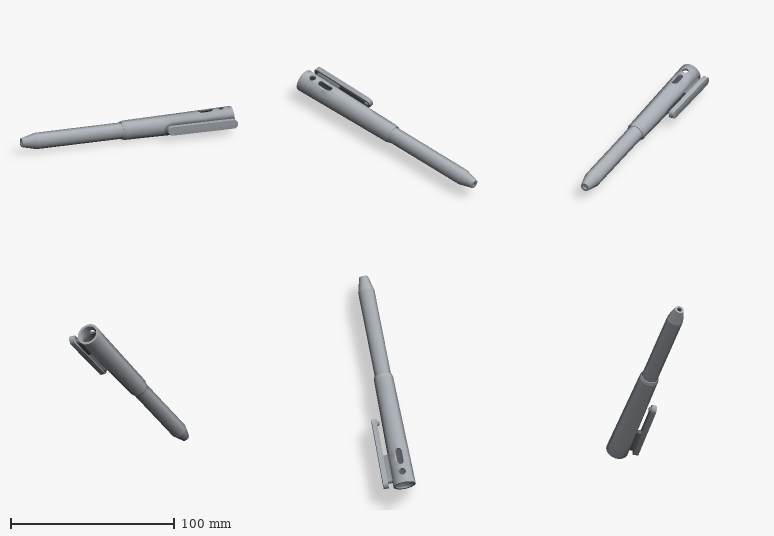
import cadquery as cq

LENGTH = 136.7

TIP_RADIUS = 2.7
BARREL_BORE_RADIUS = 1.5
TIP_LENGTH = 9.3
BARREL_RADIUS = 5.0
BARREL_INSERTION = 13.7

HOUSING_START = 64.8
HOUSING_FRONT_RADIUS = 6.0
HOUSING_REAR_RADIUS = 7.0
CHAMFER_LENGTH = 2.0
CHAMFER_END_RADIUS = 5.5
HOUSING_BORE_RADIUS = 5.5

HOLE_RADIUS = 2.0
HOLE_Y = LENGTH - 7.0
WINDOW_Y = LENGTH - 17.1
WINDOW_LENGTH = 10.4
WINDOW_WIDTH = 3.8
SCOOP_LENGTH = 10.7
SCOOP_DEPTH = 0.75

CLIP_LENGTH = 45.1
CLIP_WIDTH = 5.5
CLIP_THICKNESS = 3.1
CLIP_OUTER_X = 13.0
CLIP_INWARD_LEAN = 0.62
BALL_RADIUS = 1.6
BALL_FROM_CLIP_TIP = CLIP_WIDTH / 2
ROOT_REAR_GAP = 2.9
ROOT_LENGTH = 18.3
ROOT_WIDTH = 3.0
ROOT_INNER_X = (HOUSING_BORE_RADIUS + HOUSING_REAR_RADIUS) / 2
ROOT_OUTER_X = CLIP_OUTER_X - CLIP_THICKNESS / 2


def revolve_about_y(outline):
    """Spin a closed (radius, Y) outline about the pen axis."""
    profile = cq.Workplane("YZ").polyline([(y, radius) for radius, y in outline])
    return profile.close().revolve(360, (0, 0, 0), (1, 0, 0))


def make_barrel():
    """Cylindrical barrel with a conical tip and a bore right through; its rear end plugs into the housing."""
    barrel_end = HOUSING_START + BARREL_INSERTION
    return revolve_about_y([
        (BARREL_BORE_RADIUS, 0),
        (TIP_RADIUS, 0),
        (BARREL_RADIUS, TIP_LENGTH),
        (BARREL_RADIUS, barrel_end),
        (BARREL_BORE_RADIUS, barrel_end),
    ])


def make_housing_shell():
    """Tapered tube, open at the rear and chamfered where its narrower socket grips the barrel."""
    socket_end = HOUSING_START + BARREL_INSERTION
    return revolve_about_y([
        (BARREL_RADIUS, HOUSING_START),
        (CHAMFER_END_RADIUS, HOUSING_START),
        (HOUSING_FRONT_RADIUS, HOUSING_START + CHAMFER_LENGTH),
        (HOUSING_REAR_RADIUS, LENGTH),
        (HOUSING_BORE_RADIUS, LENGTH),
        (HOUSING_BORE_RADIUS, socket_end),
        (BARREL_RADIUS, socket_end),
    ])


def make_openings():
    """Round hole and slotted window, cut from above into the bore."""
    hole = cq.Workplane("XY").center(0, HOLE_Y).circle(HOLE_RADIUS).extrude(2 * HOUSING_REAR_RADIUS)
    window = (
        cq.Workplane("XY")
        .center(0, WINDOW_Y)
        .slot2D(WINDOW_LENGTH, WINDOW_WIDTH, 90)
        .extrude(2 * HOUSING_REAR_RADIUS)
    )
    return hole.union(window)


def make_scoop():
    """Shallow cylindrical dip, running across the pen, around the window."""
    taper = (HOUSING_REAR_RADIUS - HOUSING_FRONT_RADIUS) / (LENGTH - HOUSING_START - CHAMFER_LENGTH)
    surface_z = HOUSING_REAR_RADIUS - taper * (LENGTH - WINDOW_Y)
    scoop_radius = ((SCOOP_LENGTH / 2) ** 2 + SCOOP_DEPTH ** 2) / (2 * SCOOP_DEPTH)
    return (
        cq.Workplane("YZ")
        .center(WINDOW_Y, surface_z - SCOOP_DEPTH + scoop_radius)
        .circle(scoop_radius)
        .extrude(HOUSING_REAR_RADIUS, both=True)
    )


def make_clip_bar():
    """Bar leaning towards the housing at its tip, with fully rounded ends."""
    tip_y = LENGTH - CLIP_LENGTH
    tip_outer_x = CLIP_OUTER_X - CLIP_INWARD_LEAN
    leaning_bar = (
        cq.Workplane("XY")
        .polyline([
            (CLIP_OUTER_X, LENGTH),
            (tip_outer_x, tip_y),
            (tip_outer_x - CLIP_THICKNESS, tip_y),
            (CLIP_OUTER_X - CLIP_THICKNESS, LENGTH),
        ])
        .close()
        .extrude(CLIP_WIDTH / 2, both=True)
    )
    rounded_plan = (
        cq.Workplane("YZ")
        .center(LENGTH - CLIP_LENGTH / 2, 0)
        .slot2D(CLIP_LENGTH, CLIP_WIDTH)
        .extrude(2 * CLIP_OUTER_X)
    )
    return leaning_bar.intersect(rounded_plan)


def make_clip_root():
    """Round-ended web joining the clip bar to the housing."""
    return (
        cq.Workplane("YZ", origin=(ROOT_INNER_X, 0, 0))
        .center(LENGTH - ROOT_REAR_GAP - ROOT_LENGTH / 2, 0)
        .slot2D(ROOT_LENGTH, ROOT_WIDTH)
        .extrude(ROOT_OUTER_X - ROOT_INNER_X)
    )


def make_clip_ball():
    """Ball sunk halfway into the inner face of the clip near its tip."""
    lean_at_ball = CLIP_INWARD_LEAN * (1 - BALL_FROM_CLIP_TIP / CLIP_LENGTH)
    ball_x = CLIP_OUTER_X - CLIP_THICKNESS - lean_at_ball
    ball_y = LENGTH - CLIP_LENGTH + BALL_FROM_CLIP_TIP
    return cq.Workplane("XY").sphere(BALL_RADIUS).translate((ball_x, ball_y, 0))


def make_housing():
    """Housing with its openings and one-piece clip."""
    clip = make_clip_bar().union(make_clip_root()).union(make_clip_ball())
    shell = make_housing_shell().cut(make_scoop()).cut(make_openings())
    return shell.union(clip)


barrel = make_barrel()
housing = make_housing()

result = cq.Compound.makeCompound([barrel.val(), housing.val()])